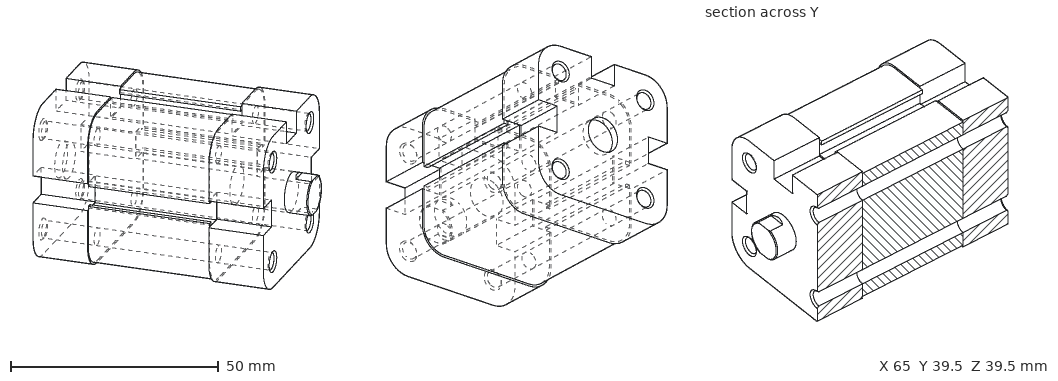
import cadquery as cq


total_length = 65.0
cap_length = 14.0
barrel_length = 31.1
front_face_x = 2 * cap_length + barrel_length

slot_width = 7.0

cap_width = 39.5
cap_corner_radius = 6.75
cap_slot_depth = 5.7

barrel_inset = 0.5
barrel_width = cap_width - 2 * barrel_inset
barrel_corner_radius = cap_corner_radius - barrel_inset
barrel_slot_depth = 4.75
lip_gap = 5.2
lip_thickness = 1.2

hole_diameter = 4.3
hole_spacing = 26.0
hole_mouth_diameter = 5.3
hole_chamfer = (hole_mouth_diameter - hole_diameter) / 2

recess_diameter = 9.0
recess_depth = 2.0

rod_diameter = 10.0
rod_tip_chamfer = 0.25
flat_spacing = 9.0
flat_start = 1.95
flat_run_out = (rod_diameter - flat_spacing) / 2

slotted_sides = (0, 90, -90)


def square_block(width, corner_radius, length):
    """Square prism along +X from X = 0, with rounded long edges."""
    return cq.Workplane("YZ").rect(width, width).extrude(length).edges("|X").fillet(corner_radius)


def slot_cutter(body_width, gap_width, top_depth, bottom_depth, length):
    """Box that removes one band of the top slot, between two depths below the top face."""
    return (
        cq.Workplane("YZ")
        .center(0, body_width / 2 - (top_depth + bottom_depth) / 2)
        .rect(gap_width, bottom_depth - top_depth)
        .extrude(length)
    )


def cut_on_slotted_sides(body, cutter):
    for angle in slotted_sides:
        body = body.cut(cutter.rotate((0, 0, 0), (1, 0, 0), angle))
    return body


def cut_fixing_holes(body, length):
    holes = (
        cq.Workplane("YZ")
        .rect(hole_spacing, hole_spacing, forConstruction=True)
        .vertices()
        .circle(hole_diameter / 2)
        .extrude(length)
    )
    return body.cut(holes)


def make_cap():
    """End cap with its outer face at X = 0."""
    cap = square_block(cap_width, cap_corner_radius, cap_length)
    cap = cut_on_slotted_sides(cap, slot_cutter(cap_width, slot_width, 0, cap_slot_depth, cap_length))
    cap = cut_fixing_holes(cap, cap_length)
    hole_mouths = cap.faces("<X").edges(cq.selectors.RadiusNthSelector(0))
    return hole_mouths.chamfer(hole_chamfer)


def make_rear_cap():
    recess = cq.Workplane("YZ").circle(recess_diameter / 2).extrude(recess_depth)
    return make_cap().cut(recess)


def make_front_cap():
    """Mirrored end cap, bored through for the rod."""
    rod_bore = cq.Workplane("YZ").circle(rod_diameter / 2).extrude(cap_length)
    return make_cap().cut(rod_bore).mirror("YZ").translate((front_face_x, 0, 0))


def make_barrel():
    """Profiled barrel; each slot narrows between a pair of lips flush with the outer face."""
    barrel = square_block(barrel_width, barrel_corner_radius, barrel_length)
    lip_opening = slot_cutter(barrel_width, lip_gap, 0, lip_thickness, barrel_length)
    slot = slot_cutter(barrel_width, slot_width, lip_thickness, barrel_slot_depth, barrel_length)
    barrel = cut_on_slotted_sides(barrel, lip_opening)
    barrel = cut_on_slotted_sides(barrel, slot)
    barrel = cut_fixing_holes(barrel, barrel_length)
    return barrel.translate((cap_length, 0, 0))


def make_rod():
    """Rod from the barrel's end face to the tip, with two wrench flats above and below."""
    rod_start_x = cap_length + barrel_length
    rod = (
        cq.Workplane("YZ", origin=(rod_start_x, 0, 0))
        .circle(rod_diameter / 2)
        .extrude(total_length - rod_start_x)
        .faces(">X")
        .chamfer(rod_tip_chamfer)
    )
    flat_x = front_face_x + flat_start
    upper_flat = (
        cq.Workplane("XZ")
        .moveTo(flat_x, flat_spacing / 2)
        .lineTo(total_length, flat_spacing / 2)
        .lineTo(total_length, rod_diameter / 2)
        .lineTo(flat_x - flat_run_out, rod_diameter / 2)
        .close()
        .extrude(rod_diameter / 2, both=True)
    )
    return rod.cut(upper_flat).cut(upper_flat.mirror("XY"))


rear_cap = make_rear_cap()
barrel = make_barrel()
front_cap = make_front_cap()
rod = make_rod()

result = cq.Compound.makeCompound([rear_cap.val(), barrel.val(), front_cap.val(), rod.val()])